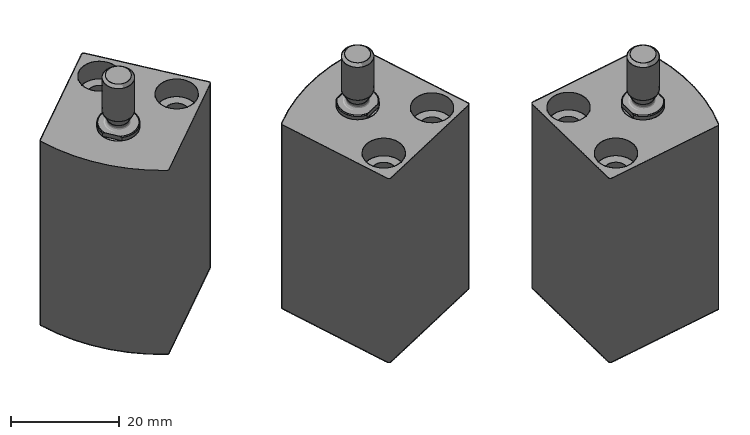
import cadquery as cq
import math

WIDTH = 25.0
DEPTH = 27.0
TOTAL_HEIGHT = 60.0
HOUSING_HEIGHT = 47.0
AXIS_TO_BACK = 16.5
BOW = 2.2
CORNER_RADIUS = 0.5

HOLE_DIAMETER = 4.5
COUNTERBORE_DIAMETER = 8.0
COUNTERBORE_DEPTH = 4.5
HOLE_SPACING = 15.0
HOLE_TO_BACK = 5.0

ROOT_DEPTH = 6.0
FLANGE_DIAMETER = 8.0
FLANGE_HEIGHT = 1.0
FLANGE_CHAMFER = 0.2
FLATS_WIDTH = 7.0
NECK_DIAMETER = 4.15
NECK_FILLET = 0.6
NECK_HEIGHT = 0.5
CONE_HEIGHT = 1.9
SHANK_DIAMETER = 6.0
TIP_CHAMFER = 0.6

back_y = AXIS_TO_BACK
front_y = back_y - DEPTH
front_corner_y = front_y + BOW


def make_housing():
    """Block with a bowed front face, two counterbored through holes and a stud recess."""
    block = (
        cq.Workplane("XY")
        .moveTo(-WIDTH / 2, back_y)
        .lineTo(-WIDTH / 2, front_corner_y)
        .threePointArc((0, front_y), (WIDTH / 2, front_corner_y))
        .lineTo(WIDTH / 2, back_y)
        .close()
        .extrude(HOUSING_HEIGHT)
        .edges("|Z")
        .fillet(CORNER_RADIUS)
    )
    hole_y = back_y - HOLE_TO_BACK
    drilled = (
        block.faces(">Z")
        .workplane(origin=(0, 0, HOUSING_HEIGHT))
        .pushPoints([(-HOLE_SPACING / 2, hole_y), (HOLE_SPACING / 2, hole_y)])
        .cboreHole(HOLE_DIAMETER, COUNTERBORE_DIAMETER, COUNTERBORE_DEPTH)
    )
    return drilled.cut(make_root())


def make_root():
    """Round root of the stud, which also gives the shape of its recess."""
    return (
        cq.Workplane("XY")
        .workplane(offset=HOUSING_HEIGHT - ROOT_DEPTH)
        .circle(FLANGE_DIAMETER / 2)
        .extrude(ROOT_DEPTH)
    )


def make_flange():
    """Round flange with a chamfered top rim and two flats facing along Y."""
    disc = (
        cq.Workplane("XY")
        .workplane(offset=HOUSING_HEIGHT)
        .circle(FLANGE_DIAMETER / 2)
        .extrude(FLANGE_HEIGHT)
        .faces(">Z")
        .chamfer(FLANGE_CHAMFER)
    )
    flats = (
        cq.Workplane("XY")
        .workplane(offset=HOUSING_HEIGHT)
        .rect(FLANGE_DIAMETER, FLATS_WIDTH)
        .extrude(FLANGE_HEIGHT)
    )
    return disc.intersect(flats)


def make_shank():
    """Turned shank: filleted neck, cone and chamfered cylinder."""
    neck_radius = NECK_DIAMETER / 2
    shank_radius = SHANK_DIAMETER / 2
    flange_top = HOUSING_HEIGHT + FLANGE_HEIGHT
    fillet_top = flange_top + NECK_FILLET
    neck_top = fillet_top + NECK_HEIGHT
    fillet_inset = NECK_FILLET * (1 - math.sqrt(0.5))
    fillet_middle = (neck_radius + fillet_inset, flange_top + fillet_inset)
    return (
        cq.Workplane("XZ")
        .moveTo(0, flange_top)
        .lineTo(neck_radius + NECK_FILLET, flange_top)
        .threePointArc(fillet_middle, (neck_radius, fillet_top))
        .lineTo(neck_radius, neck_top)
        .lineTo(shank_radius, neck_top + CONE_HEIGHT)
        .lineTo(shank_radius, TOTAL_HEIGHT - TIP_CHAMFER)
        .lineTo(shank_radius - TIP_CHAMFER, TOTAL_HEIGHT)
        .lineTo(0, TOTAL_HEIGHT)
        .close()
        .revolve(360, (0, 0, 0), (0, 1, 0))
    )


def make_stud():
    """Stud in one piece: root in the housing, flange and shank above it."""
    return make_root().union(make_flange()).union(make_shank())


housing = make_housing()
stud = make_stud()

result = cq.Compound.makeCompound([housing.val(), stud.val()])